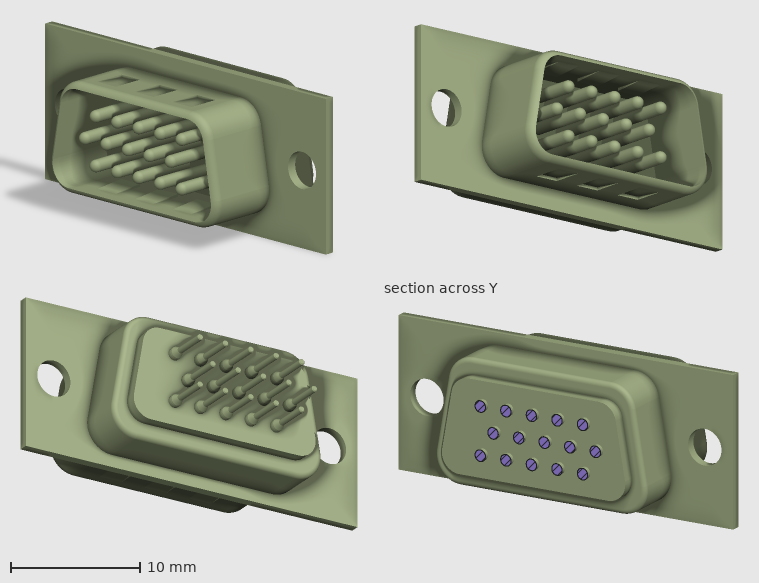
import cadquery as cq
import math


FLANGE_WIDTH = 30.1
FLANGE_HEIGHT = 12.55
FLANGE_THICKNESS = 0.8
MOUNT_HOLE_DIAMETER = 3.0
MOUNT_HOLE_SPACING = 25.0

SIDE_ANGLE = math.radians(10)
CORNER_RADIUS = 2.2

SHELL_MID_WIDTH = 17.2
SHELL_HEIGHT = 9.15
SHELL_LENGTH = 6.0
SHELL_WALL = 0.5
SHELL_LIP_RADIUS = 0.75

BODY_MID_WIDTH = 17.95
BODY_HEIGHT = 10.5
BODY_LENGTH = 3.9
BODY_EDGE_RADIUS = 0.4
BLOCK_MID_WIDTH = 15.7
BLOCK_HEIGHT = 7.9
BLOCK_LENGTH = 1.0
BLOCK_CORNER_RADIUS = 1.55
BODY_BACK = FLANGE_THICKNESS + BODY_LENGTH
BLOCK_BACK = BODY_BACK + BLOCK_LENGTH

DIMPLE_COUNT = 3
DIMPLE_PITCH = 4.05
DIMPLE_WIDTH = 2.0
DIMPLE_LENGTH = 2.7
DIMPLE_BACK = -1.9
DIMPLE_DEPTH = 0.25

PINS_PER_ROW = 5
PIN_PITCH = 2.3
ROW_PITCH = 2.0
CONTACT_RADIUS = 0.5
CONTACT_LENGTH = 5.7
COLLAR_LENGTH = 0.3
SHOULDER_RADIUS = 0.48
SHOULDER_END = 0.45
CONE_END = 0.95
TAIL_RADIUS = 0.25
TAIL_LENGTH = 4.0
TAIL_TIP_CHAMFER = 0.08


def d_prism(mid_width, height, corner_radius, y_front, y_back):
    """Rounded trapezoid, wider at the bottom, extruded along Y."""
    taper = height / 2 * math.tan(SIDE_ANGLE)
    half_top = mid_width / 2 - taper
    half_bottom = mid_width / 2 + taper
    outline = [
        (-half_bottom, -height / 2),
        (half_bottom, -height / 2),
        (half_top, height / 2),
        (-half_top, height / 2),
    ]
    return (
        cq.Workplane("XZ", origin=(0, y_back, 0))
        .polyline(outline)
        .close()
        .extrude(y_back - y_front)
        .edges("|Y")
        .fillet(corner_radius)
    )


def make_flange():
    return (
        cq.Workplane("XZ", origin=(0, FLANGE_THICKNESS, 0))
        .rect(FLANGE_WIDTH, FLANGE_HEIGHT)
        .pushPoints([(-MOUNT_HOLE_SPACING / 2, 0), (MOUNT_HOLE_SPACING / 2, 0)])
        .circle(MOUNT_HOLE_DIAMETER / 2)
        .extrude(FLANGE_THICKNESS)
    )


def make_shell():
    """Thin front shell whose rounded lip ends in a sharp edge at the cavity."""
    inner_reach = SHELL_LIP_RADIUS - SHELL_WALL
    lip_loss = SHELL_LIP_RADIUS - math.sqrt(SHELL_LIP_RADIUS**2 - inner_reach**2)
    front = -SHELL_LENGTH - lip_loss
    outer = d_prism(SHELL_MID_WIDTH, SHELL_HEIGHT, CORNER_RADIUS, front, 0)
    outer = outer.faces("<Y").edges().fillet(SHELL_LIP_RADIUS)
    cavity = d_prism(
        SHELL_MID_WIDTH - 2 * SHELL_WALL / math.cos(SIDE_ANGLE),
        SHELL_HEIGHT - 2 * SHELL_WALL,
        CORNER_RADIUS - SHELL_WALL,
        front,
        0,
    )
    return outer.cut(cavity)


def dimple_wedge(x, z_surface, inward):
    """Wedge under a wall surface, deepest at the back; inward is -1 or 1 along Z."""
    ramp = [
        (DIMPLE_BACK - DIMPLE_LENGTH, z_surface),
        (DIMPLE_BACK, z_surface),
        (DIMPLE_BACK, z_surface + inward * DIMPLE_DEPTH),
    ]
    return (
        cq.Workplane("YZ", origin=(x - DIMPLE_WIDTH / 2, 0, 0))
        .polyline(ramp)
        .close()
        .extrude(DIMPLE_WIDTH)
    )


def press_dimples(shell):
    """Ramped dimples: sunk on the outside of the wall, raised on the inside."""
    outer_z = SHELL_HEIGHT / 2
    inner_z = outer_z - SHELL_WALL
    for i in range(DIMPLE_COUNT):
        x = (i - (DIMPLE_COUNT - 1) / 2) * DIMPLE_PITCH
        for side in (-1, 1):
            shell = shell.cut(dimple_wedge(x, side * outer_z, -side))
            shell = shell.union(dimple_wedge(x, side * inner_z, -side))
    return shell


def make_rear():
    body = d_prism(BODY_MID_WIDTH, BODY_HEIGHT, CORNER_RADIUS, FLANGE_THICKNESS, BODY_BACK)
    body = body.faces(">Y").edges().fillet(BODY_EDGE_RADIUS)
    block = d_prism(BLOCK_MID_WIDTH, BLOCK_HEIGHT, BLOCK_CORNER_RADIUS, BODY_BACK, BLOCK_BACK)
    return body.union(block)


def make_pin():
    """Round-nosed contact, collar, cone and solder tail, revolved about the Y axis."""
    nose_start = CONTACT_RADIUS - CONTACT_LENGTH
    nose_offset = CONTACT_RADIUS * math.sqrt(0.5)
    tail_end = BLOCK_BACK + TAIL_LENGTH
    return (
        cq.Workplane("XY")
        .moveTo(0, -CONTACT_LENGTH)
        .threePointArc((nose_offset, nose_start - nose_offset), (CONTACT_RADIUS, nose_start))
        .lineTo(CONTACT_RADIUS, BLOCK_BACK + COLLAR_LENGTH)
        .lineTo(SHOULDER_RADIUS, BLOCK_BACK + SHOULDER_END)
        .lineTo(TAIL_RADIUS, BLOCK_BACK + CONE_END)
        .lineTo(TAIL_RADIUS, tail_end - TAIL_TIP_CHAMFER)
        .lineTo(TAIL_RADIUS - TAIL_TIP_CHAMFER, tail_end)
        .lineTo(0, tail_end)
        .close()
        .revolve(360, (0, 0, 0), (0, 1, 0))
    )


def pin_positions():
    """Three rows of pins; the middle row is shifted half a pitch toward -X."""
    positions = []
    for row in (-1, 0, 1):
        shift = -PIN_PITCH / 2 if row == 0 else 0
        for i in range(PINS_PER_ROW):
            x = (i - (PINS_PER_ROW - 1) / 2) * PIN_PITCH + shift
            positions.append((x, row * ROW_PITCH))
    return positions


result = make_flange().union(press_dimples(make_shell())).union(make_rear())
pin = make_pin()
for pin_x, pin_z in pin_positions():
    result = result.union(pin.translate((pin_x, 0, pin_z)))